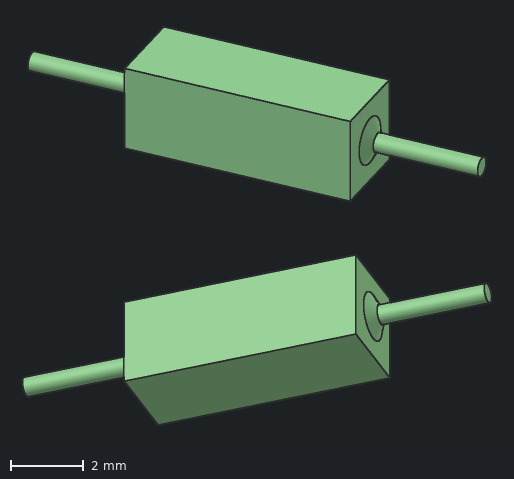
import cadquery as cq

overall_length = 13.68
case_length = 6.87
case_width = 2.55
lead_diameter = 0.56
seal_base_diameter = 1.4
seal_height = 0.23

case_half_length = case_length / 2
lead_radius = lead_diameter / 2
seal_base_radius = seal_base_diameter / 2


def make_lead():
    """Straight round wire over the whole length of the part."""
    return cq.Workplane("YZ").circle(lead_radius).extrude(overall_length / 2, both=True)


def make_case():
    """Square block with a through bore that the lead fills."""
    block = cq.Workplane("XY").box(case_length, case_width, case_width)
    bore = cq.Workplane("YZ").circle(lead_radius).extrude(case_half_length, both=True)
    return block.cut(bore)


def make_seal(side):
    """Conical collar around the lead on one case end; side is -1 or +1 along X."""
    base_x = side * case_half_length
    tip_x = side * (case_half_length + seal_height)
    profile = (
        cq.Workplane("XY")
        .moveTo(base_x, lead_radius)
        .lineTo(base_x, seal_base_radius)
        .lineTo(tip_x, lead_radius)
        .close()
    )
    return profile.revolve(360, (0, 0, 0), (1, 0, 0))


case = make_case()
lead = make_lead()
seals = [make_seal(side) for side in (-1, 1)]

result = cq.Compound.makeCompound([case.val(), lead.val(), *[seal.val() for seal in seals]])